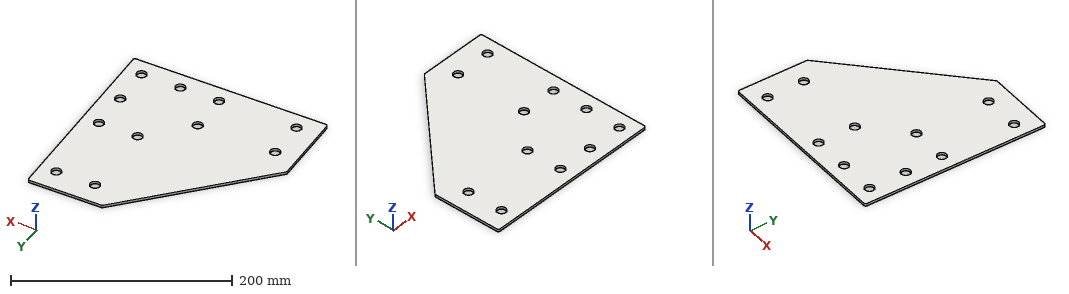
import cadquery as cq

side = 200.0
thickness = 3.0
corner_cut = 123.0
corner_radius = 2.0

hole_diameter = 10.0
edge_offset = 17.0
pitch = 40.0
hole_grid = [
    (0, 0), (1, 0), (2, 0), (4, 0),
    (0, 1), (2, 1), (4, 1),
    (0, 2), (1, 2),
    (0, 4), (1, 4),
]

half = side / 2


def make_plate():
    """Five-sided plate with every vertical edge rounded."""
    outline = [
        (-half, -half),
        (half, -half),
        (half, half),
        (-half + corner_cut, half),
        (-half, half - corner_cut),
    ]
    plate = cq.Workplane("XY").polyline(outline).close().extrude(thickness)
    return plate.edges("|Z").fillet(corner_radius)


def make_holes():
    """Through-hole cylinders, counted in pitches left and up from the corner."""
    centers = [
        (half - edge_offset - left * pitch, -half + edge_offset + up * pitch)
        for left, up in hole_grid
    ]
    return cq.Workplane("XY").pushPoints(centers).circle(hole_diameter / 2).extrude(thickness)


result = make_plate().cut(make_holes())